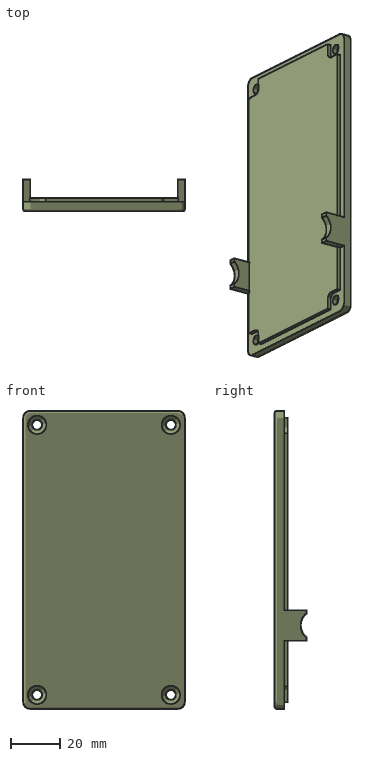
import cadquery as cq

width = 66.0
height = 121.5
plate_thickness = 4.0
corner_radius = 3.0
front_edge_radius = 1.0

plateau_inset = 2.75
plateau_height = 1.5
notch_depth = 6.5
notch_radius = 2.5

screw_inset = 5.75
screw_diameter = 3.9
countersink_diameter = 7.5
countersink_angle = 90.0

overall_depth = 13.04
tab_thickness = 3.0
tab_height = 12.5
tab_centre_z = -26.7
saddle_radius = tab_height / 2
saddle_depth = 2.3

CORNERS = [(side_x, side_z) for side_x in (-1, 1) for side_z in (-1, 1)]


def box_from_y(size_x, size_z, y_start, y_end):
    """Box centred in X and Z that spans y_start to y_end."""
    return (
        cq.Workplane("XY")
        .box(size_x, y_end - y_start, size_z, centered=(True, False, True))
        .translate((0, y_start, 0))
    )


def make_plate():
    """Rounded plate with a filleted outer rim."""
    plate = box_from_y(width, height, 0, plate_thickness)
    plate = plate.edges("|Y").fillet(corner_radius)
    return plate.faces("<Y").edges().fillet(front_edge_radius)


def make_plateau():
    """Rectangle with a round-cornered notch in each corner."""
    plateau_width = width - 2 * plateau_inset
    plateau_length = height - 2 * plateau_inset
    back = plate_thickness + plateau_height
    plateau = box_from_y(plateau_width, plateau_length, plate_thickness, back)
    notch = box_from_y(2 * notch_depth, 2 * notch_depth, plate_thickness, back)
    notch = notch.edges("|Y").fillet(notch_radius)
    for side_x, side_z in CORNERS:
        corner = (side_x * plateau_width / 2, 0, side_z * plateau_length / 2)
        plateau = plateau.cut(notch.translate(corner))
    return plateau


def make_tab(side_x):
    """Tab flush with one long side, running back from the outer rim fillet."""
    tab_x = side_x * (width - tab_thickness) / 2
    tab = box_from_y(tab_thickness, tab_height, front_edge_radius, overall_depth)
    saddle_y = overall_depth - saddle_depth + saddle_radius
    saddle = (
        cq.Workplane("YZ")
        .center(saddle_y, 0)
        .circle(saddle_radius)
        .extrude(tab_thickness, both=True)
    )
    return tab.cut(saddle).translate((tab_x, 0, tab_centre_z))


def drill_screw_holes(body):
    """Countersunk through holes, one near each corner."""
    screw_points = [
        (side_x * (width / 2 - screw_inset), side_z * (height / 2 - screw_inset))
        for side_x, side_z in CORNERS
    ]
    return (
        body.faces("<Y")
        .workplane(origin=(0, 0, 0))
        .pushPoints(screw_points)
        .cskHole(screw_diameter, countersink_diameter, countersink_angle)
    )


result = make_plate().union(make_plateau())
for side in (-1, 1):
    result = result.union(make_tab(side))
result = drill_screw_holes(result)